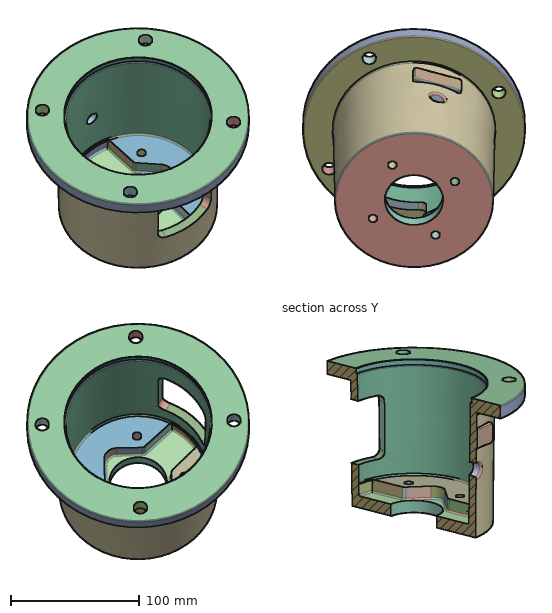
import cadquery as cq
import math

height = 114.3
flange_radius = 86.5
flange_thickness = 11.2
flange_bottom = height - flange_thickness
edge_round = 0.9

neck_top_radius = 63.0
neck_bottom_radius = 61.8
collar_radius = 63.5
collar_height = 1.5

pilot_radius = 57.3
pilot_depth = 4.5
pilot_break = 0.3
bore_top_radius = 56.0
bore_bottom_radius = 54.7
bore_mouth_round = 0.5
floor_thickness = 20.0
floor_round = 1.4

shaft_hole_diameter = 45.3
flange_hole_diameter = 10.5
flange_hole_pitch = 105.5
floor_hole_diameter = 6.7
floor_hole_pitch = 51.0

channel_depth = 10.0
channel_mouth_half_width = 14.4
channel_inner_half_width = 14.9
diamond_reach = 36.8
diamond_nose_radius = 10.0
channel_corner_radius = 3.5
channel_draft_angle = 4.0
channel_floor_round = 1.4

window_bottom = 35.5
window_top = 87.5
window_outer_width = 54.3
window_edge_x = 56.4
window_start_x = 43.2
window_side_angle = 15.0
window_corner_radius = 6.0

access_height = 55.9
access_outer_diameter = 11.6
access_inner_diameter = 10.2
access_mouth_round = 1.7

pad_height_center = 82.2
pad_length = 39.1
pad_width = 17.1
pad_face = 63.3
pad_root = 57.0
pad_corner_radius = 3.0
pad_edge_round = 1.0


def outer_body():
    """Flange and tapered neck as one solid of revolution."""
    outline = [
        (0, 0),
        (neck_bottom_radius, 0),
        (neck_top_radius, flange_bottom - collar_height),
        (collar_radius, flange_bottom),
        (flange_radius, flange_bottom),
        (flange_radius, height),
        (0, height),
    ]
    body = cq.Workplane("XZ").polyline(outline).close().revolve(360, (0, 0), (0, 1))
    rim = cq.selectors.RadiusNthSelector(-1)
    return body.edges(rim).fillet(edge_round).faces("<Z").edges().fillet(edge_round)


def inner_cavity():
    """Space taken out by the pilot recess and the tapering bore."""
    pilot_floor = height - pilot_depth
    outline = [
        (0, floor_thickness),
        (bore_bottom_radius, floor_thickness),
        (bore_top_radius, pilot_floor),
        (pilot_radius, pilot_floor),
        (pilot_radius, height - pilot_break),
        (pilot_radius + pilot_break, height),
        (0, height),
    ]
    cavity = cq.Workplane("XZ").polyline(outline).close().revolve(360, (0, 0), (0, 1))
    bore_mouth = cq.selectors.BoxSelector(
        (-pilot_radius, -pilot_radius, pilot_floor - bore_mouth_round),
        (pilot_radius, pilot_radius, pilot_floor + bore_mouth_round),
    )
    mouth_edge = cavity.edges(bore_mouth).edges(cq.selectors.RadiusNthSelector(0))
    return mouth_edge.fillet(bore_mouth_round).faces("<Z").edges().fillet(floor_round)


def floor_channel():
    """Drafted channel along X with a diamond-shaped middle, kept inside the bore."""
    shoulder = diamond_reach - channel_inner_half_width
    upper = [
        (-bore_top_radius, channel_mouth_half_width),
        (-shoulder, channel_inner_half_width),
        (0, diamond_reach),
        (shoulder, channel_inner_half_width),
        (bore_top_radius, channel_mouth_half_width),
    ]
    lower = [(-x, -y) for x, y in upper]
    profile = cq.Sketch().polygon(upper + lower + upper[:1])
    for y_sign in (1, -1):
        nose = cq.selectors.NearestToPointSelector((0, y_sign * diamond_reach, 0))
        profile = profile.reset().vertices(nose).fillet(diamond_nose_radius)
        for x_sign in (1, -1):
            corner = (x_sign * shoulder, y_sign * channel_inner_half_width, 0)
            selector = cq.selectors.NearestToPointSelector(corner)
            profile = profile.reset().vertices(selector).fillet(channel_corner_radius)
    channel = (
        cq.Workplane("XY", origin=(0, 0, floor_thickness))
        .placeSketch(profile.reset())
        .extrude(-channel_depth, taper=channel_draft_angle)
    )
    bore_slope = (bore_top_radius - bore_bottom_radius) / (height - pilot_depth - floor_thickness)
    end_radius = bore_bottom_radius - bore_slope * channel_depth
    limit = cq.Workplane("XY", origin=(0, 0, floor_thickness - channel_depth)).circle(end_radius)
    channel = channel.intersect(limit.extrude(channel_depth))
    return channel.faces("<Z").edges().fillet(channel_floor_round)


def square_of_holes(pitch, diameter):
    """Four through cutters on the corners of a square around the axis."""
    centers = cq.Workplane("XY").rect(pitch, pitch, forConstruction=True).vertices()
    return centers.circle(diameter / 2).extrude(height)


def wall_window():
    """Cutter through the +X wall with rounded corners and sides that converge inward."""

    def half_width(x):
        slope = math.tan(math.radians(window_side_angle))
        return window_outer_width / 2 + (x - window_edge_x) * slope

    inner_x = window_start_x
    outer_x = flange_radius
    plan = [
        (inner_x, -half_width(inner_x)),
        (outer_x, -half_width(outer_x)),
        (outer_x, half_width(outer_x)),
        (inner_x, half_width(inner_x)),
    ]
    cutter = cq.Workplane("XY", origin=(0, 0, window_bottom)).polyline(plan).close()
    cutter = cutter.extrude(window_top - window_bottom)
    return cutter.edges("not (|Z or |Y)").fillet(window_corner_radius)


def nameplate_pad():
    """Flat rounded pad standing just proud of the -X wall."""
    return (
        cq.Workplane("YZ", origin=(-pad_root, 0, pad_height_center))
        .rect(pad_length, pad_width)
        .extrude(pad_root - pad_face)
        .edges("|X")
        .fillet(pad_corner_radius)
        .faces("<X")
        .edges()
        .fillet(pad_edge_round)
    )


def cut_access_hole(body):
    """Tapered hole through the -X wall with a rounded outer mouth."""
    depth = neck_top_radius - bore_bottom_radius
    cone = cq.Solid.makeCone(
        access_outer_diameter / 2,
        access_inner_diameter / 2,
        depth,
        pnt=cq.Vector(-neck_top_radius, 0, access_height),
        dir=cq.Vector(1, 0, 0),
    )
    drilled = body.cut(cq.Workplane(cone))
    reach = access_outer_diameter
    mid_wall = (neck_top_radius + bore_top_radius) / 2
    mouth = cq.selectors.BoxSelector(
        (-collar_radius, -reach, access_height - reach),
        (-mid_wall, reach, access_height + reach),
    )
    return drilled.edges(mouth).edges("not %LINE").fillet(access_mouth_round)


result = outer_body().cut(inner_cavity()).cut(floor_channel())
result = cut_access_hole(result)
result = result.union(nameplate_pad())
result = result.cut(wall_window())
result = result.cut(cq.Workplane("XY").circle(shaft_hole_diameter / 2).extrude(height))
result = result.cut(square_of_holes(floor_hole_pitch, floor_hole_diameter))
result = result.cut(square_of_holes(flange_hole_pitch, flange_hole_diameter))